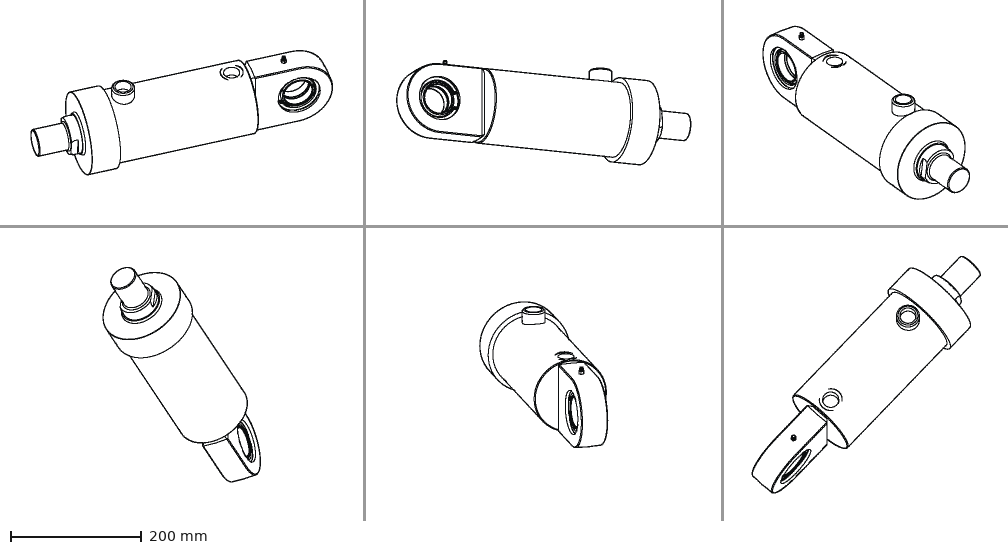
import cadquery as cq
import math


overall_length = 474.0

eye_radius = 55.0
eye_width = 42.0
eye_chamfer = 1.5
eye_draft_angle = 2.0
eye_bore_diameter = 68.0
weld_bevel = 6.5

barrel_diameter = 115.0
barrel_end_chamfer = 1.5
barrel_rear_y = -77.3
gland_diameter = 130.0
gland_chamfer = 0.5
gland_rear_y = -302.5
gland_front_y = -348.5

wiper_root_diameter = 68.0
wiper_tip_diameter = 64.0
wiper_length = 4.0

port_diameter = 24.5
port_depth = 15.5
drill_point_angle = 118.0
boss_diameter = 35.0
boss_chamfer = 2.5
boss_top_z = 75.5
boss_y = -277.0
spotface_width = 28.0
rear_port_y = -102.0

nipple_y = -18.0
nipple_hex_across_flats = 7.0
nipple_hex_height = 4.5
nipple_sink = 1.0
nipple_neck_diameter = 4.4
nipple_neck_top = 6.0
nipple_head_diameter = 5.5
nipple_head_top = 8.0
nipple_tip_diameter = 4.4
nipple_height = 10.0

rod_diameter = 60.0
shoulder_y = -369.0
shoulder_chamfer_length = 4.7
shoulder_chamfer_depth = 1.5
stud_diameter = 42.0
stud_root_diameter = 47.0
stud_root_length = 2.5
stud_end_chamfer = 1.5
flat_spacing = 51.0
flat_length = 10.5
flat_tilt = 7.0

bearing_bore_diameter = 45.0
bearing_bore_chamfer = 1.0
bearing_sphere_diameter = 60.0
inner_ring_width = 32.0
outer_ring_width = 25.0
grease_groove_width = 4.0
grease_groove_depth = 1.0
snap_ring_width = 3.5
snap_ring_outer_diameter = 71.0
snap_ring_inner_diameter = 58.5
snap_ring_gap_angle = 40.0
lug_diameter = 5.5
lug_hole_diameter = 3.0
lug_radius_from_axis = 30.5
lug_angle = 25.0

rod_end_y = eye_radius - overall_length
spotface_z = math.sqrt(barrel_diameter**2 - spotface_width**2) / 2


def disc(diameter, y_start, y_end):
    """Cylinder around the Y axis between two Y positions."""
    low_y = min(y_start, y_end)
    length = abs(y_end - y_start)
    return cq.Workplane("XZ", origin=(0, low_y, 0)).circle(diameter / 2).extrude(-length)


def cross_disc(diameter, x_start, x_end):
    """Cylinder around the X axis between two X positions."""
    return cq.Workplane("YZ", origin=(x_start, 0, 0)).circle(diameter / 2).extrude(x_end - x_start)


def make_eye():
    """Forged eye: its rim drops from a crest at mid-width toward both flat sides."""
    outline = (
        cq.Workplane("YZ")
        .moveTo(gland_rear_y, -eye_radius)
        .lineTo(0, -eye_radius)
        .threePointArc((eye_radius, 0), (0, eye_radius))
        .lineTo(gland_rear_y, eye_radius)
        .close()
    )
    half = outline.extrude(eye_width / 2, taper=eye_draft_angle).faces(">X").chamfer(eye_chamfer)
    plate = half.union(half.mirror("YZ"))

    eye_length = eye_radius - barrel_rear_y
    envelope = (
        cq.Workplane("XY", origin=(0, eye_radius - eye_length / 2, 0))
        .box(eye_width, eye_length, 2 * eye_radius)
        .faces("<Y")
        .chamfer(weld_bevel)
    )
    return plate.intersect(envelope)


def make_port_hole(port_y, mouth_z):
    """Drilled port with a conical bottom, opening upward at mouth_z."""
    radius = port_diameter / 2
    point_depth = radius / math.tan(math.radians(drill_point_angle / 2))
    return (
        cq.Workplane("XZ", origin=(0, port_y, mouth_z))
        .polyline([(0, 0), (radius, 0), (radius, -port_depth), (0, -port_depth - point_depth)])
        .close()
        .revolve(360, (0, 0), (0, 1))
    )


def make_nipple():
    """Grease nipple on the crest of the eye; its hexagon sinks in to meet the sloping rim."""
    hexagon = (
        cq.Workplane("XY", origin=(0, nipple_y, eye_radius - nipple_sink))
        .transformed(rotate=(0, 0, 90))
        .polygon(6, nipple_hex_across_flats, circumscribed=True)
        .extrude(nipple_sink + nipple_hex_height)
    )
    stem = (
        cq.Workplane("XZ", origin=(0, nipple_y, eye_radius))
        .moveTo(0, 0)
        .lineTo(nipple_neck_diameter / 2, 0)
        .lineTo(nipple_neck_diameter / 2, nipple_neck_top)
        .lineTo(nipple_head_diameter / 2, nipple_neck_top)
        .lineTo(nipple_head_diameter / 2, nipple_head_top)
        .lineTo(nipple_tip_diameter / 2, nipple_height)
        .lineTo(0, nipple_height)
        .close()
        .revolve(360, (0, 0), (0, 1))
    )
    return hexagon.union(stem)


def snap_ring_span(side):
    """Lower and upper X of the retaining ring on one side of the bearing (side is -1 or 1)."""
    inner_x = side * outer_ring_width / 2
    outer_x = side * (outer_ring_width / 2 + snap_ring_width)
    return min(inner_x, outer_x), max(inner_x, outer_x)


def make_wiper():
    """Tapered collar on the front of the gland."""
    return (
        cq.Workplane("XZ", origin=(0, gland_front_y, 0))
        .circle(wiper_root_diameter / 2)
        .workplane(offset=wiper_length)
        .circle(wiper_tip_diameter / 2)
        .loft()
    )


def make_housing():
    """Eye, barrel, gland, port boss and grease nipple in one solid."""
    barrel = disc(barrel_diameter, barrel_rear_y, gland_rear_y).faces(">Y").chamfer(barrel_end_chamfer)
    gland = disc(gland_diameter, gland_rear_y, gland_front_y).faces("<Y").chamfer(gland_chamfer)
    boss = (
        cq.Workplane("XY", origin=(0, boss_y, 0))
        .circle(boss_diameter / 2)
        .extrude(boss_top_z)
        .faces(">Z")
        .chamfer(boss_chamfer)
    )
    body = make_eye().union(barrel).union(gland).union(make_wiper())
    body = body.union(boss).union(make_nipple())

    spotface = (
        cq.Workplane("XY", origin=(0, rear_port_y, spotface_z))
        .circle(boss_diameter / 2)
        .extrude(barrel_diameter)
    )
    body = body.cut(spotface)
    body = body.cut(make_port_hole(rear_port_y, spotface_z))
    body = body.cut(make_port_hole(boss_y, boss_top_z))

    body = body.cut(cross_disc(eye_bore_diameter, -eye_width / 2, eye_width / 2))
    for side in (-1, 1):
        body = body.cut(cross_disc(snap_ring_outer_diameter, *snap_ring_span(side)))

    return body.cut(disc(rod_diameter, gland_rear_y, gland_front_y - wiper_length))


def make_rod():
    """Rod with a shouldered stud; it starts at the back of the gland."""
    rod_radius = rod_diameter / 2
    rod = (
        cq.Workplane("XY")
        .moveTo(0, gland_rear_y)
        .lineTo(rod_radius, gland_rear_y)
        .lineTo(rod_radius, shoulder_y + shoulder_chamfer_length)
        .lineTo(rod_radius - shoulder_chamfer_depth, shoulder_y)
        .lineTo(stud_root_diameter / 2, shoulder_y)
        .lineTo(stud_diameter / 2, shoulder_y - stud_root_length)
        .lineTo(stud_diameter / 2, rod_end_y + stud_end_chamfer)
        .lineTo(stud_diameter / 2 - stud_end_chamfer, rod_end_y)
        .lineTo(0, rod_end_y)
        .close()
        .revolve(360, (0, 0), (0, 1))
    )

    flat_zone = disc(rod_diameter, shoulder_y, shoulder_y + flat_length)
    between_flats = cq.Workplane("XY").box(flat_spacing, overall_length * 2, rod_diameter)
    between_flats = between_flats.rotate((0, 0, 0), (0, 1, 0), flat_tilt)
    return rod.cut(flat_zone.cut(between_flats))


def make_snap_ring(side):
    """Retaining ring, open toward the barrel, with a pierced lug at each end."""
    span = snap_ring_span(side)
    reach = snap_ring_outer_diameter
    half_gap = reach * math.tan(math.radians(snap_ring_gap_angle / 2))
    bore = cross_disc(snap_ring_inner_diameter, -eye_width / 2, eye_width / 2)
    gap = (
        cq.Workplane("YZ")
        .polyline([(0, 0), (-reach, half_gap), (-reach, -half_gap)])
        .close()
        .extrude(eye_width / 2, both=True)
    )
    ring = cross_disc(snap_ring_outer_diameter, *span).cut(bore).cut(gap)
    for end in (-1, 1):
        angle = math.radians(lug_angle)
        lug_y = -lug_radius_from_axis * math.cos(angle)
        lug_z = end * lug_radius_from_axis * math.sin(angle)
        ring = ring.union(cross_disc(lug_diameter, *span).translate((0, lug_y, lug_z)))
        ring = ring.cut(cross_disc(lug_hole_diameter, *span).translate((0, lug_y, lug_z)))
    return ring


def sphere_radius_at(x):
    """Radius of the bearing sphere's cross-section at a given X."""
    return math.sqrt((bearing_sphere_diameter / 2) ** 2 - x**2)


def make_bearing():
    """Spherical bearing with the retaining rings that hold it in the eye."""
    bore_radius = bearing_bore_diameter / 2
    seat_radius = eye_bore_diameter / 2
    inner_x = inner_ring_width / 2
    outer_x = outer_ring_width / 2
    middle_x = (inner_x + outer_x) / 2
    rings = (
        cq.Workplane("XY")
        .moveTo(-inner_x, bore_radius + bearing_bore_chamfer)
        .lineTo(-inner_x + bearing_bore_chamfer, bore_radius)
        .lineTo(inner_x - bearing_bore_chamfer, bore_radius)
        .lineTo(inner_x, bore_radius + bearing_bore_chamfer)
        .lineTo(inner_x, sphere_radius_at(inner_x))
        .threePointArc((middle_x, sphere_radius_at(middle_x)), (outer_x, sphere_radius_at(outer_x)))
        .lineTo(outer_x, seat_radius)
        .lineTo(-outer_x, seat_radius)
        .lineTo(-outer_x, sphere_radius_at(outer_x))
        .threePointArc((-middle_x, sphere_radius_at(middle_x)), (-inner_x, sphere_radius_at(inner_x)))
        .close()
        .revolve(360, (0, 0), (1, 0))
    )
    groove_diameter = bearing_bore_diameter + 2 * grease_groove_depth
    groove = cross_disc(groove_diameter, -grease_groove_width / 2, grease_groove_width / 2)
    bearing = rings.cut(groove)
    for side in (-1, 1):
        bearing = bearing.union(make_snap_ring(side))
    return bearing


housing = make_housing()
rod = make_rod()
bearing = make_bearing()

result = cq.Compound.makeCompound([body.solids().val() for body in (housing, rod, bearing)])